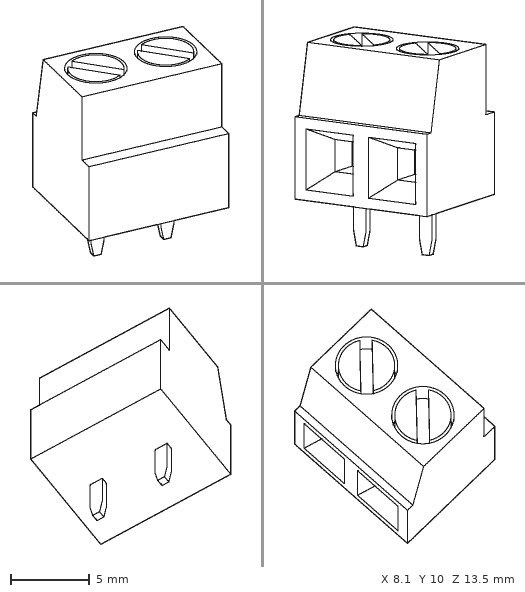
import cadquery as cq

POLE_PITCH = 5.0
POLE_COUNT = 2
HOUSING_WIDTH = 10.0
HOUSING_DEPTH = 8.1
TOTAL_HEIGHT = 13.5
PIN_LENGTH = 3.5

BASE_HEIGHT = 5.4
FRONT_LEDGE = 0.5
SLOPE_RUN = 1.0
BACK_LEDGE = 1.0
HOUSING_BOTTOM = PIN_LENGTH
BASE_TOP = HOUSING_BOTTOM + BASE_HEIGHT
FRONT_X = -HOUSING_DEPTH / 2
BACK_X = HOUSING_DEPTH / 2

OPENING_PITCH = 4.74
OPENING_WIDTH = 3.58
OPENING_HEIGHT = 4.0
OPENING_SILL = 0.7
FUNNEL_INSET = 0.95
FUNNEL_DEPTH = 2.0
WIRE_HOLE_DEPTH = 2.0
OPENING_CENTER_Z = HOUSING_BOTTOM + OPENING_SILL + OPENING_HEIGHT / 2
WIRE_HOLE_WIDTH = OPENING_WIDTH - 2 * FUNNEL_INSET
WIRE_HOLE_HEIGHT = OPENING_HEIGHT - 2 * FUNNEL_INSET

WELL_DIAMETER = 4.0
SCREW_DIAMETER = 3.6
SCREW_HEIGHT = 3.0
SLOT_WIDTH = 0.8
SLOT_DEPTH = 1.5
SLOT_ANGLE = 45.0

PIN_THICKNESS = 0.5
PIN_WIDTH = 0.95
TIP_WIDTH = 0.53
TIP_LENGTH = 1.0


def row_positions(pitch):
    """Y places of one feature per pole, centred on the housing."""
    return [(index - (POLE_COUNT - 1) / 2) * pitch for index in range(POLE_COUNT)]


def make_wire_opening(y):
    """Rectangular funnel followed by a straight blind wire hole."""
    mouth = cq.Workplane("YZ", origin=(FRONT_X, y, OPENING_CENTER_Z))
    funnel = (
        mouth.rect(OPENING_WIDTH, OPENING_HEIGHT)
        .workplane(offset=FUNNEL_DEPTH)
        .rect(WIRE_HOLE_WIDTH, WIRE_HOLE_HEIGHT)
        .loft(ruled=True)
    )
    wire_hole = (
        mouth.workplane(offset=FUNNEL_DEPTH)
        .rect(WIRE_HOLE_WIDTH, WIRE_HOLE_HEIGHT)
        .extrude(WIRE_HOLE_DEPTH)
    )
    return funnel.union(wire_hole)


def make_screw_well(y):
    """Round blind well, open at the top of the housing."""
    return (
        cq.Workplane("XY", origin=(0, y, TOTAL_HEIGHT))
        .circle(WELL_DIAMETER / 2)
        .extrude(-SCREW_HEIGHT)
    )


def make_housing():
    """Stepped block with a sloped front, wire openings and screw wells."""
    outline = [
        (FRONT_X, HOUSING_BOTTOM),
        (BACK_X, HOUSING_BOTTOM),
        (BACK_X, BASE_TOP),
        (BACK_X - BACK_LEDGE, BASE_TOP),
        (BACK_X - BACK_LEDGE, TOTAL_HEIGHT),
        (FRONT_X + FRONT_LEDGE + SLOPE_RUN, TOTAL_HEIGHT),
        (FRONT_X + FRONT_LEDGE, BASE_TOP),
        (FRONT_X, BASE_TOP),
    ]
    housing = (
        cq.Workplane("XZ")
        .polyline(outline)
        .close()
        .extrude(HOUSING_WIDTH / 2, both=True)
    )
    for y in row_positions(OPENING_PITCH):
        housing = housing.cut(make_wire_opening(y))
    for y in row_positions(POLE_PITCH):
        housing = housing.cut(make_screw_well(y))
    return housing


def make_screw(y):
    """Cylindrical screw, flush with the housing top, with a diagonal slot."""
    top = cq.Workplane("XY", origin=(0, y, TOTAL_HEIGHT))
    slot = (
        top.transformed(rotate=(0, 0, SLOT_ANGLE))
        .rect(WELL_DIAMETER, SLOT_WIDTH)
        .extrude(-SLOT_DEPTH)
    )
    return top.circle(SCREW_DIAMETER / 2).extrude(-SCREW_HEIGHT).cut(slot)


def make_pin(y):
    """Flat pin below the housing, narrowing in Y towards its tip."""
    outline = [
        (-PIN_WIDTH / 2, HOUSING_BOTTOM),
        (-PIN_WIDTH / 2, TIP_LENGTH),
        (-TIP_WIDTH / 2, 0),
        (TIP_WIDTH / 2, 0),
        (PIN_WIDTH / 2, TIP_LENGTH),
        (PIN_WIDTH / 2, HOUSING_BOTTOM),
    ]
    return (
        cq.Workplane("YZ", origin=(0, y, 0))
        .polyline(outline)
        .close()
        .extrude(PIN_THICKNESS / 2, both=True)
    )


housing = make_housing()
screws = [make_screw(y) for y in row_positions(POLE_PITCH)]
pins = [make_pin(y) for y in row_positions(POLE_PITCH)]

result = cq.Compound.makeCompound(
    [housing.val(), *[screw.val() for screw in screws], *[pin.val() for pin in pins]]
)